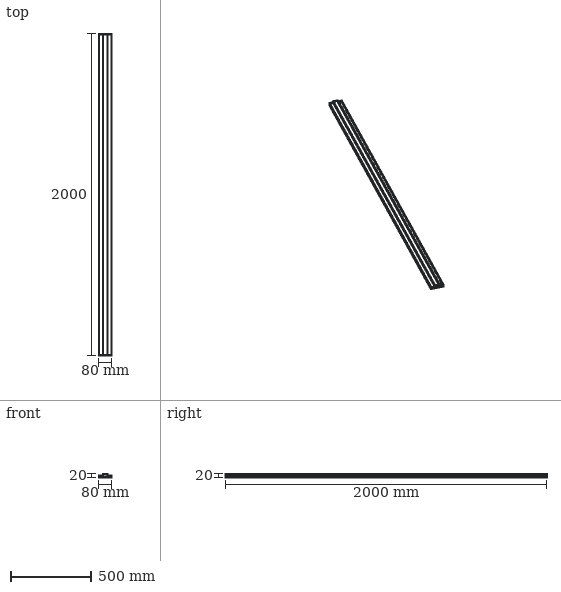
import cadquery as cq

length = 2000.0
base_width = 80.0
total_height = 20.0

rib_width = 30.0
rib_height = 7.7
base_height = total_height - rib_height


def bar(width, height, bottom):
    """Full-length rectangular bar, centred in X and Y, standing on Z = bottom."""
    return (
        cq.Workplane("XY")
        .workplane(offset=bottom)
        .rect(width, length)
        .extrude(height)
    )


base = bar(base_width, base_height, 0.0)
rib = bar(rib_width, rib_height, base_height)

result = base.union(rib)